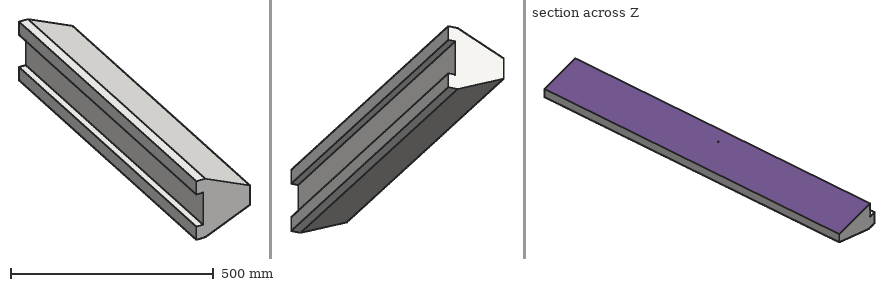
import cadquery as cq

length = 889.0
depth = 152.4
height = 168.28

flat_depth = 25.4
back_height = 55.56
lip_height = 38.1
groove_depth = 19.05
groove_height = height - 2 * lip_height


def tapered_bar():
    """Long bar along X, with flat edges at the front and sloping sides narrowing to the back."""
    front_y = -depth / 2
    back_y = depth / 2
    shoulder_y = front_y + flat_depth
    outline = [
        (front_y, -height / 2),
        (shoulder_y, -height / 2),
        (back_y, -back_height / 2),
        (back_y, back_height / 2),
        (shoulder_y, height / 2),
        (front_y, height / 2),
    ]
    return cq.Workplane("YZ").polyline(outline).close().extrude(length / 2, both=True)


def front_groove():
    """Rectangular groove running the full length of the front face, between the two lips."""
    groove_center_y = (groove_depth - depth) / 2
    return cq.Workplane("XY").box(length, groove_depth, groove_height).translate((0, groove_center_y, 0))


result = tapered_bar().cut(front_groove())